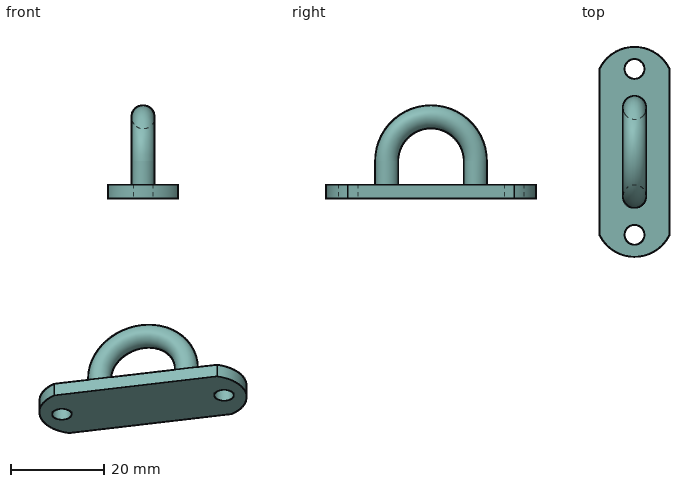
import cadquery as cq

plate_width = 15.0
plate_length = 45.0
plate_thickness = 3.0
straight_side_length = 35.6

hole_diameter = 4.2
hole_spacing = 35.5

bar_diameter = 5.0
loop_outer_width = 24.0
overall_height = 20.0

bend_radius = (loop_outer_width - bar_diameter) / 2
bend_center_z = overall_height - loop_outer_width / 2


def make_plate():
    half_width = plate_width / 2
    half_length = plate_length / 2
    half_side = straight_side_length / 2
    return (
        cq.Workplane("XY")
        .moveTo(half_width, -half_side)
        .lineTo(half_width, half_side)
        .threePointArc((0, half_length), (-half_width, half_side))
        .lineTo(-half_width, -half_side)
        .threePointArc((0, -half_length), (half_width, -half_side))
        .close()
        .extrude(plate_thickness)
    )


def make_hole_cutters():
    hole_centers = [(0, -hole_spacing / 2), (0, hole_spacing / 2)]
    return (
        cq.Workplane("XY")
        .pushPoints(hole_centers)
        .circle(hole_diameter / 2)
        .extrude(plate_thickness)
    )


def make_loop():
    """Sweep the bar up one leg, around the half-circle bend and down the other leg."""
    path = (
        cq.Workplane("YZ")
        .moveTo(-bend_radius, plate_thickness)
        .lineTo(-bend_radius, bend_center_z)
        .threePointArc((0, bend_center_z + bend_radius), (bend_radius, bend_center_z))
        .lineTo(bend_radius, plate_thickness)
    )
    return (
        cq.Workplane("XY", origin=(0, -bend_radius, plate_thickness))
        .circle(bar_diameter / 2)
        .sweep(path)
    )


result = make_plate().cut(make_hole_cutters()).union(make_loop())